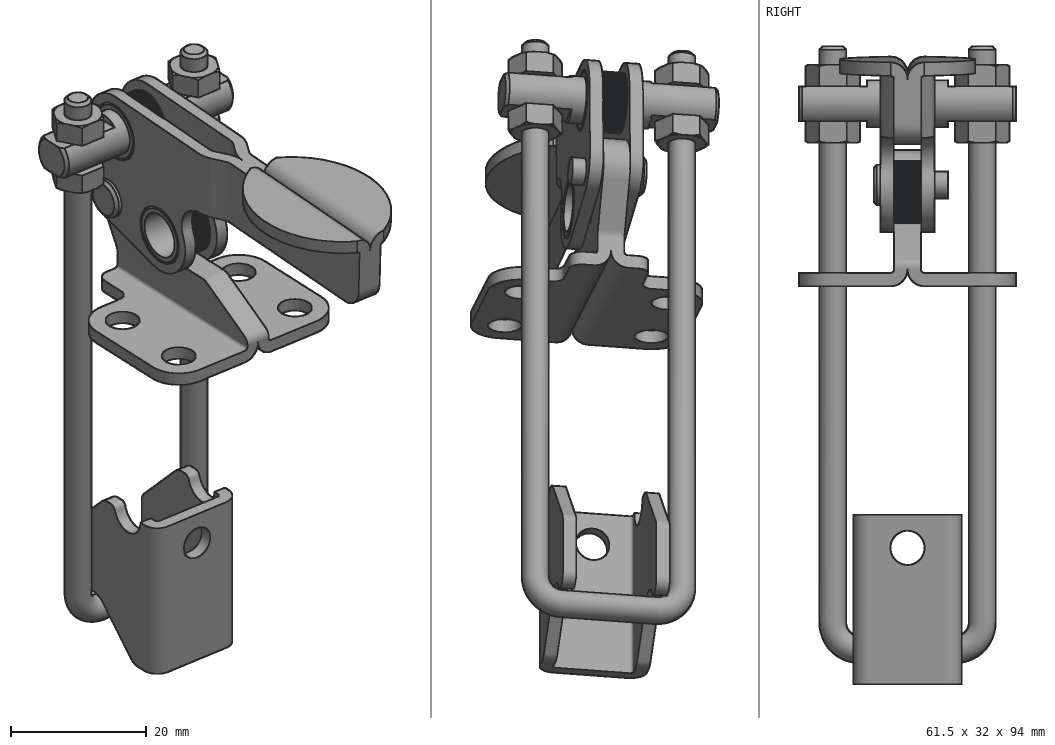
import cadquery as cq
import math

sheet = 2.0
bend_inner = 0.5
bend_outer = bend_inner + sheet
tab_half = sheet
handle_half = 2 * sheet
half_width = 16.0

trunnion_z = 26.9
trunnion_radius = 3.5
trunnion_flat_half = 2.55
trunnion_shoulder = 6.0
trunnion_chamfer = 0.5

rod_radius = 2.0
rod_y = 11.0
rod_bend_radius = 4.0
rod_bottom_z = -53.5
rod_top_z = 35.38
rod_tip_chamfer = 0.5
nut_across_flats = 7.0
nut_height = 3.2
nut_chamfer_radius = 3.6

handle_tilt = 2.0
handle_edge = 6.0
arm_bottom = -4.2
arm_end = 54.64
arm_corner = 3.0
heel_radius = 5.0
heel_slope = 13.5
armpit_radius = 4.0
lock_x = 10.9
lock_z = -12.55
lock_boss_radius = 6.0
sleeve_outer = 4.5
sleeve_chamfer = 0.3
sleeve_ring_pitch = 0.25
sleeve_ring_depth = 0.1
pinch_x = 20.5
pinch_angle = 30.0
thumb_start = 29.6
thumb_half_width = 10.0

rivet_local_x = -1.0
rivet_local_z = -12.0
rivet_radius = 2.0
rivet_head_radius = 3.0
rivet_head_height = 1.0
rivet_head_chamfer = 0.5
rivet_end_y = 6.0

lug_radius = 5.16
lug_slope = 61.0
tab_front_x = -1.9
tab_top_z = 9.3
tab_slope = 30.0
tab_corner = 2.0
ramp_end_corner = 1.5
base_end_x = 28.6
ramp_start_x = 18.6
foot_half = 5.9
foot_corner = 1.9
foot_fillet = 1.6
plate_corner = 5.0
plate_start_x = 5.45
mount_hole = 5.0
mount_y = half_width - plate_corner

catch_half = 8.0
catch_left = -6.1
catch_right = 14.3
catch_top = -33.6
catch_bottom = -58.6
catch_shoulder_z = -42.1
catch_corner = 2.0
hook_x = catch_left + catch_corner
hook_z = -50.6
seat_radius = 3.0
scallop_x = 7.9
scallop_radius = 3.0
scallop_lip = 1.0
catch_hole = 5.0
catch_hole_z = -38.5


def cylinder_y(x, z, radius, y_from, y_to):
    """Cylinder parallel to Y."""
    return (
        cq.Workplane("XZ", origin=(x, y_from, z))
        .circle(radius)
        .extrude(-(y_to - y_from))
    )


def cylinder_z(x, y, radius, z_from, z_to):
    """Cylinder parallel to Z."""
    return cq.Workplane("XY", origin=(x, y, z_from)).circle(radius).extrude(z_to - z_from)


def block(x_from, x_to, y_half, z_from, z_to):
    """Box centred on Y = 0."""
    return (
        cq.Workplane("XY")
        .box(x_to - x_from, 2 * y_half, z_to - z_from, centered=(False, True, False))
        .translate((x_from, 0, z_from))
    )


def on_circle(x, z, radius, degrees):
    """Point on a circle at an angle from its first axis."""
    angle = math.radians(degrees)
    return (x + radius * math.cos(angle), z + radius * math.sin(angle))


def mirrored(half):
    """A half and its mirror image across Y = 0, joined."""
    return half.union(half.mirror("XZ"))


def placed_handle(shape):
    """Move from the handle's own frame to the assembly."""
    return shape.rotate((0, 0, 0), (0, 1, 0), handle_tilt).translate((0, 0, trunnion_z))


def handle_to_world(x, z):
    """Assembly position of a point given in the handle's own frame."""
    tilt = math.radians(handle_tilt)
    world_x = x * math.cos(tilt) + z * math.sin(tilt)
    world_z = z * math.cos(tilt) - x * math.sin(tilt) + trunnion_z
    return world_x, world_z


rivet_x, rivet_z = handle_to_world(rivet_local_x, rivet_local_z)


def handle_side():
    """Side outline of the cheeks and arm, full width."""
    lower_angle = -90 - heel_slope
    slope = math.radians(heel_slope)
    boss_tangent = on_circle(lock_x, lock_z, lock_boss_radius, lower_angle)
    heel_x = -handle_edge + heel_radius
    edge_z = boss_tangent[1] + (boss_tangent[0] - heel_x) * math.tan(slope)
    heel_z = edge_z + heel_radius / math.cos(slope)
    armpit_z = arm_bottom - armpit_radius
    centre_gap = lock_boss_radius + armpit_radius
    armpit_x = lock_x + math.sqrt(centre_gap**2 - (armpit_z - lock_z) ** 2)
    boss_angle = math.degrees(math.atan2(armpit_z - lock_z, armpit_x - lock_x))
    armpit_mid = (boss_angle + 180 + 90) / 2
    return (
        cq.Workplane("XZ", origin=(0, handle_half, 0))
        .moveTo(0, handle_edge)
        .threePointArc(on_circle(0, 0, handle_edge, 135), (-handle_edge, 0))
        .lineTo(-handle_edge, heel_z)
        .threePointArc(
            on_circle(heel_x, heel_z, heel_radius, (180 + 270 - heel_slope) / 2),
            on_circle(heel_x, heel_z, heel_radius, lower_angle),
        )
        .lineTo(*boss_tangent)
        .threePointArc(
            on_circle(lock_x, lock_z, lock_boss_radius, (lower_angle + boss_angle) / 2),
            on_circle(lock_x, lock_z, lock_boss_radius, boss_angle),
        )
        .threePointArc(
            on_circle(armpit_x, armpit_z, armpit_radius, armpit_mid),
            (armpit_x, arm_bottom),
        )
        .lineTo(arm_end - arm_corner, arm_bottom)
        .threePointArc(
            on_circle(arm_end - arm_corner, arm_bottom + arm_corner, arm_corner, -45),
            (arm_end, arm_bottom + arm_corner),
        )
        .lineTo(arm_end, handle_edge)
        .close()
        .extrude(2 * handle_half)
    )


def handle_plan():
    """Plan of the two sheets: apart at the cheeks, pressed together along the arm."""
    reach = 3 * lock_boss_radius + handle_edge
    angle = math.radians(pinch_angle)
    run = sheet / math.tan(angle)
    setback = sheet * math.tan(angle / 2)
    inner_x = pinch_x - setback
    knees = [
        ((pinch_x, handle_half), bend_outer + sheet),
        ((inner_x, sheet), bend_outer),
        ((pinch_x + run, sheet), sheet),
        ((inner_x + run, 0), 2 * sheet),
    ]
    half = (
        cq.Workplane("XY", origin=(0, 0, -reach))
        .moveTo(-2 * handle_edge, handle_half)
        .lineTo(*knees[0][0])
        .lineTo(*knees[2][0])
        .lineTo(arm_end, sheet)
        .lineTo(arm_end, 0)
        .lineTo(*knees[3][0])
        .lineTo(*knees[1][0])
        .lineTo(-2 * handle_edge, sheet)
        .close()
        .extrude(2 * reach)
    )
    for (x, y), radius in knees:
        half = half.edges(cq.selectors.NearestToPointSelector((x, y, 0))).fillet(radius)
    return mirrored(half)


def thumb_rest():
    """Lens-shaped rest: the arm's two sheets fold outward at the top."""
    bend_z = handle_edge - bend_inner
    top_z = handle_edge + sheet
    fold = (
        cq.Workplane("YZ", origin=(thumb_start, 0, 0))
        .moveTo(0, bend_z)
        .threePointArc(on_circle(bend_outer, bend_z, bend_outer, 135), (bend_outer, top_z))
        .lineTo(thumb_half_width, top_z)
        .lineTo(thumb_half_width, handle_edge)
        .lineTo(bend_outer, handle_edge)
        .threePointArc(on_circle(bend_outer, bend_z, bend_inner, 135), (sheet, bend_z))
        .close()
        .extrude(arm_end - thumb_start)
    )
    middle_x = (thumb_start + arm_end) / 2
    lens = (
        cq.Workplane("XY")
        .moveTo(thumb_start, bend_outer)
        .threePointArc((middle_x, thumb_half_width), (arm_end, bend_outer))
        .lineTo(arm_end, -bend_outer)
        .threePointArc((middle_x, -thumb_half_width), (thumb_start, -bend_outer))
        .close()
        .extrude(top_z)
    )
    return mirrored(fold).intersect(lens)


def sleeve(x, z):
    """Tube tying the cheeks together, finely ringed between them."""
    body = cylinder_y(x, z, sleeve_outer, -handle_half, handle_half)
    body = body.faces("<Y or >Y").chamfer(sleeve_chamfer)
    ring_width = sleeve_ring_pitch / 2
    for index in range(round(2 * sheet / sleeve_ring_pitch)):
        start = -sheet + index * sleeve_ring_pitch
        ring = cylinder_y(x, z, sleeve_outer, start, start + ring_width)
        core = cylinder_y(x, z, sleeve_outer - sleeve_ring_depth, start, start + ring_width)
        body = body.cut(ring.cut(core))
    return body


def build_handle():
    sleeve_places = [(0, 0), (lock_x, lock_z)]
    body = handle_side().intersect(handle_plan())
    fold_z = handle_edge - bend_inner
    body = body.cut(block(thumb_start, arm_end, handle_half, fold_z, handle_edge))
    body = body.union(thumb_rest())
    for x, z in sleeve_places:
        body = body.cut(cylinder_y(x, z, sleeve_outer, -handle_half, handle_half))
        body = body.union(sleeve(x, z))
        body = body.cut(cylinder_y(x, z, trunnion_radius, -handle_half, handle_half))
    body = body.cut(
        cylinder_y(rivet_local_x, rivet_local_z, rivet_radius, -handle_half, handle_half)
    )
    return placed_handle(body)


def base_tab():
    """Upright tab with the pivot lug at its front."""
    slope_start = on_circle(rivet_x, rivet_z, lug_radius, 270 - lug_slope)
    slope_run = tab_front_x - slope_start[0]
    slope_end_z = slope_start[1] - slope_run * math.tan(math.radians(lug_slope))
    ramp_run = base_end_x - ramp_start_x
    ramp_end_z = tab_top_z - ramp_run * math.tan(math.radians(tab_slope))
    tab = (
        cq.Workplane("XZ", origin=(0, tab_half, 0))
        .moveTo(*slope_start)
        .threePointArc((rivet_x, rivet_z + lug_radius), (rivet_x + lug_radius, rivet_z))
        .lineTo(rivet_x + lug_radius, tab_top_z)
        .lineTo(ramp_start_x, tab_top_z)
        .lineTo(base_end_x, ramp_end_z)
        .lineTo(base_end_x, bend_outer)
        .lineTo(tab_front_x, bend_outer)
        .lineTo(tab_front_x, slope_end_z)
        .close()
        .extrude(2 * tab_half)
    )
    corners = [
        (tab_front_x, slope_end_z, tab_corner),
        (ramp_start_x, tab_top_z, tab_corner),
        (base_end_x, ramp_end_z, ramp_end_corner),
    ]
    for x, z, radius in corners:
        corner = cq.selectors.NearestToPointSelector((x, 0, z))
        tab = tab.edges(corner).fillet(radius)
    return tab


def base_plan():
    """Plan of the mounting plate with its narrow foot."""
    plate_middle_x = (plate_start_x + base_end_x) / 2
    plate = (
        block(plate_start_x, base_end_x, half_width, 0, bend_outer)
        .edges("|Z")
        .fillet(plate_corner)
    )
    foot = (
        block(tab_front_x, plate_middle_x, foot_half, 0, bend_outer)
        .edges("|Z and <X")
        .fillet(foot_corner)
    )
    plan = plate.union(foot)
    for side in (-1, 1):
        corner = cq.selectors.NearestToPointSelector(
            (plate_start_x, side * foot_half, bend_outer / 2)
        )
        plan = plan.edges(corner).fillet(foot_fillet)
    return plan


def base_fold():
    """Cross section of the two sheets folding out from the tab."""
    half = (
        cq.Workplane("YZ", origin=(tab_front_x, 0, 0))
        .moveTo(0, bend_outer)
        .threePointArc(on_circle(bend_outer, bend_outer, bend_outer, 225), (bend_outer, 0))
        .lineTo(half_width, 0)
        .lineTo(half_width, sheet)
        .lineTo(bend_outer, sheet)
        .threePointArc(
            on_circle(bend_outer, bend_outer, bend_inner, 225), (sheet, bend_outer)
        )
        .close()
        .extrude(base_end_x - tab_front_x)
    )
    return mirrored(half)


def build_base():
    body = base_fold().intersect(base_plan()).union(base_tab())
    for x in (plate_start_x + plate_corner, base_end_x - plate_corner):
        for y in (-mount_y, mount_y):
            body = body.cut(cylinder_z(x, y, mount_hole / 2, 0, sheet))
    return body.cut(cylinder_y(rivet_x, rivet_z, rivet_radius, -tab_half, tab_half))


def build_rivet():
    head_face = -handle_half - rivet_head_height
    head = (
        cylinder_y(rivet_x, rivet_z, rivet_head_radius, head_face, -handle_half)
        .faces("<Y")
        .chamfer(rivet_head_chamfer)
    )
    return head.union(cylinder_y(rivet_x, rivet_z, rivet_radius, -handle_half, rivet_end_y))


def build_trunnion():
    body = cylinder_y(0, trunnion_z, trunnion_radius, -half_width, half_width)
    body = body.faces("<Y or >Y").chamfer(trunnion_chamfer)
    end_length = half_width - trunnion_shoulder
    end_middle = (half_width + trunnion_shoulder) / 2
    flat_gap = trunnion_radius - trunnion_flat_half
    for side in (-1, 1):
        for level in (-1, 1):
            flat = cq.Workplane("XY").box(2 * trunnion_radius, end_length, flat_gap)
            flat_z = trunnion_z + level * (trunnion_flat_half + flat_gap / 2)
            body = body.cut(flat.translate((0, side * end_middle, flat_z)))
        body = body.cut(cylinder_z(0, side * rod_y, rod_radius, 0, rod_top_z))
    return body


def nut(y, seat_z, direction):
    """Hexagon nut standing on seat_z, its free end chamfered."""
    corner_radius = nut_across_flats / math.sqrt(3)
    hexagon = (
        cq.Workplane("XY", origin=(0, y, 0))
        .polygon(6, 2 * corner_radius)
        .extrude(nut_height)
        .rotate((0, y, 0), (0, y, 1), 90)
    )
    rounding = (
        cylinder_z(0, y, corner_radius, 0, nut_height)
        .faces(">Z")
        .chamfer((corner_radius - nut_chamfer_radius) / 2, corner_radius - nut_chamfer_radius)
    )
    shape = hexagon.intersect(rounding)
    if direction < 0:
        shape = shape.mirror("XY")
    return shape.translate((0, 0, seat_z))


def build_draw_bolt():
    bend_z = rod_bottom_z + rod_bend_radius
    bend_y = rod_y - rod_bend_radius
    path = (
        cq.Workplane("YZ")
        .moveTo(-rod_y, rod_top_z)
        .lineTo(-rod_y, bend_z)
        .threePointArc(on_circle(-bend_y, bend_z, rod_bend_radius, 225), (-bend_y, rod_bottom_z))
        .lineTo(bend_y, rod_bottom_z)
        .threePointArc(on_circle(bend_y, bend_z, rod_bend_radius, 315), (rod_y, bend_z))
        .lineTo(rod_y, rod_top_z)
    )
    bolt = cq.Workplane("XY", origin=(0, -rod_y, rod_top_z)).circle(rod_radius).sweep(path)
    bolt = bolt.faces(">Z").chamfer(rod_tip_chamfer)
    for y in (-rod_y, rod_y):
        for direction in (-1, 1):
            seat_z = trunnion_z + direction * trunnion_flat_half
            bolt = bolt.union(nut(y, seat_z, direction))
    return bolt


def catch_side():
    """Side outline of the catch: hook at the lower front, scallop at the top."""
    sloping_x = seat_radius * math.sqrt(2)
    foot_x = sloping_x + rod_bottom_z - catch_bottom
    shoulder_x = catch_left + catch_top - catch_shoulder_z
    seat_to_hook = math.degrees(math.atan2(hook_z - rod_bottom_z, hook_x))
    hook_end = seat_to_hook - 180
    profile = (
        cq.Workplane("XZ", origin=(0, catch_half, 0))
        .moveTo(catch_left, catch_shoulder_z)
        .lineTo(catch_left, hook_z)
        .threePointArc(
            on_circle(hook_x, hook_z, catch_corner, (hook_end - 180) / 2),
            on_circle(hook_x, hook_z, catch_corner, hook_end),
        )
        .threePointArc(
            on_circle(0, rod_bottom_z, seat_radius, (seat_to_hook + 45) / 2),
            on_circle(0, rod_bottom_z, seat_radius, 45),
        )
        .lineTo(foot_x, catch_bottom)
        .lineTo(catch_right, catch_bottom)
        .lineTo(catch_right, catch_top)
        .lineTo(shoulder_x, catch_top)
        .close()
        .extrude(2 * catch_half)
    )
    corners = [
        (catch_left, catch_shoulder_z),
        (shoulder_x, catch_top),
        (foot_x, catch_bottom),
    ]
    for x, z in corners:
        corner = cq.selectors.NearestToPointSelector((x, 0, z))
        profile = profile.edges(corner).fillet(catch_corner)
    scallop = cylinder_y(scallop_x, catch_top, scallop_radius, -catch_half, catch_half)
    profile = profile.cut(scallop)
    lip = cq.selectors.NearestToPointSelector((scallop_x - scallop_radius, 0, catch_top))
    return profile.edges(lip).fillet(scallop_lip)


def catch_channel():
    """Folded U channel, open toward -X."""
    outer = (
        block(catch_left, catch_right, catch_half, catch_bottom, catch_top)
        .edges("|Z and >X")
        .fillet(bend_outer)
    )
    inner = (
        block(catch_left, catch_right - sheet, catch_half - sheet, catch_bottom, catch_top)
        .edges("|Z and >X")
        .fillet(bend_inner)
    )
    return outer.cut(inner)


def build_catch():
    body = catch_channel().intersect(catch_side())
    hole = (
        cq.Workplane("YZ", origin=(catch_right - sheet, 0, catch_hole_z))
        .circle(catch_hole / 2)
        .extrude(sheet)
    )
    return body.cut(hole)


handle = build_handle()
base = build_base()
rivet = build_rivet()
trunnion = build_trunnion()
draw_bolt = build_draw_bolt()
catch_plate = build_catch()

result = cq.Compound.makeCompound([
    handle.val(),
    base.val(),
    rivet.val(),
    trunnion.val(),
    draw_bolt.val(),
    catch_plate.val(),
])